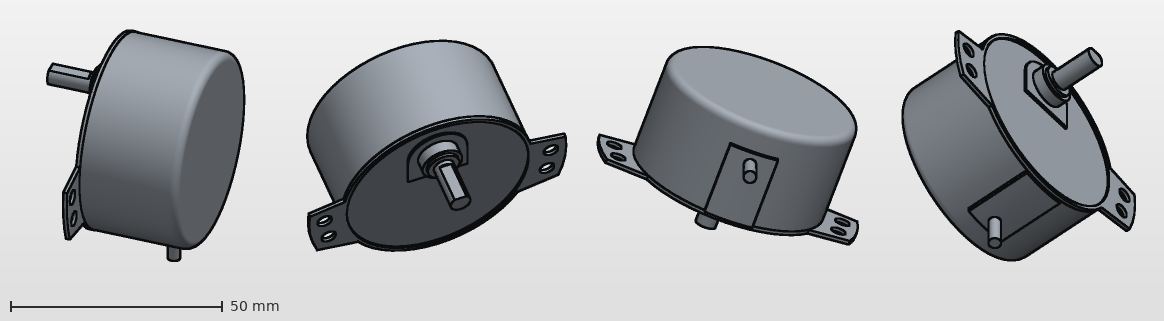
import cadquery as cq
import math


can_radius = 23.9
can_back_x = 25.5
can_edge_fillet = 2.0

plate_radius = 24.0
plate_thickness = 1.0
recess_radius = 23.0
recess_depth = 0.5

ear_tip_radius = 32.5
ear_edge_angle = 10.0
ear_top_tip_angle = 6.0
ear_bottom_tip_angle = -20.2
ear_root_y = 17.0
ear_hole_diameter = 3.6
ear_hole_centres = [(28.6, -0.3), (27.6, -7.1)]

shaft_axis_z = 12.5
arch_radius = 7.5
collar_diameter = 10.0
collar_length = 3.0
step_diameter = 8.0
step_length = 0.8
shaft_diameter = 5.0
shaft_tip_x = -15.0
flat_length = 10.0
flat_height = 2.0

saddle_width = 12.0
saddle_length = 18.0
saddle_radius = 25.0
cable_diameter = 3.0
cable_x = 16.0
cable_bottom_z = -33.0


def cylinder_x(diameter, x_start, x_end, axis_z=0.0):
    """Cylinder along X between two X positions."""
    profile = cq.Workplane("YZ", origin=(x_start, 0, axis_z)).circle(diameter / 2)
    return profile.extrude(x_end - x_start)


def polar_point(radius, angle):
    """(Y, Z) point at an angle in degrees above the +Y axis."""
    return (radius * math.cos(math.radians(angle)), radius * math.sin(math.radians(angle)))


def make_can():
    can = cylinder_x(2 * can_radius, recess_depth, can_back_x)
    return can.faces(">X").edges().fillet(can_edge_fillet)


def make_ear():
    """Ear on the +Y side, reaching inward to well inside the plate rim."""
    top_tip = polar_point(ear_tip_radius, ear_top_tip_angle)
    bottom_tip = polar_point(ear_tip_radius, ear_bottom_tip_angle)
    middle_tip = polar_point(ear_tip_radius, (ear_top_tip_angle + ear_bottom_tip_angle) / 2)
    slope = math.tan(math.radians(ear_edge_angle))
    top_root = (ear_root_y, top_tip[1] + (top_tip[0] - ear_root_y) * slope)
    bottom_root = (ear_root_y, bottom_tip[1] - (bottom_tip[0] - ear_root_y) * slope)
    outline = (
        cq.Workplane("YZ")
        .moveTo(*top_root)
        .lineTo(*top_tip)
        .threePointArc(middle_tip, bottom_tip)
        .lineTo(*bottom_root)
        .close()
    )
    holes = cq.Workplane("YZ").pushPoints(ear_hole_centres).circle(ear_hole_diameter / 2)
    return outline.extrude(plate_thickness).cut(holes.extrude(plate_thickness))


def make_plate():
    ear = make_ear()
    plate = cylinder_x(2 * plate_radius, 0, plate_thickness)
    plate = plate.union(ear).union(ear.mirror("XZ"))
    return plate.cut(cylinder_x(2 * recess_radius, 0, recess_depth))


def make_arch_pad():
    """Arched pad standing in the recess, flush with the plate rim."""
    return (
        cq.Workplane("YZ", origin=(0, 0, shaft_axis_z))
        .moveTo(-arch_radius, -arch_radius)
        .lineTo(-arch_radius, 0)
        .threePointArc((0, arch_radius), (arch_radius, 0))
        .lineTo(arch_radius, -arch_radius)
        .close()
        .extrude(plate_thickness)
    )


def make_output():
    collar_x = -collar_length
    step_x = collar_x - step_length
    collar = cylinder_x(collar_diameter, collar_x, plate_thickness, shaft_axis_z)
    step = cylinder_x(step_diameter, step_x, collar_x, shaft_axis_z)
    shaft = cylinder_x(shaft_diameter, shaft_tip_x, step_x, shaft_axis_z)
    flat_origin = (shaft_tip_x, 0, shaft_axis_z + flat_height)
    flat_cutter = cq.Workplane("XY", origin=flat_origin).box(
        flat_length, shaft_diameter, shaft_diameter, centered=(False, True, False)
    )
    return collar.union(step).union(shaft.cut(flat_cutter))


def make_saddle():
    """Block below the can whose underside is an arc about the motor axis."""
    saddle_end_x = plate_thickness + saddle_length
    block = cq.Workplane("XY", origin=(plate_thickness, 0, -saddle_radius)).box(
        saddle_length, saddle_width, saddle_radius, centered=(False, True, False)
    )
    return block.intersect(cylinder_x(2 * saddle_radius, plate_thickness, saddle_end_x))


def make_cable():
    profile = cq.Workplane("XY", origin=(cable_x, 0, cable_bottom_z)).circle(cable_diameter / 2)
    return profile.extrude(-can_radius - cable_bottom_z)


result = make_can()
for feature in (make_plate(), make_arch_pad(), make_output(), make_saddle(), make_cable()):
    result = result.union(feature)